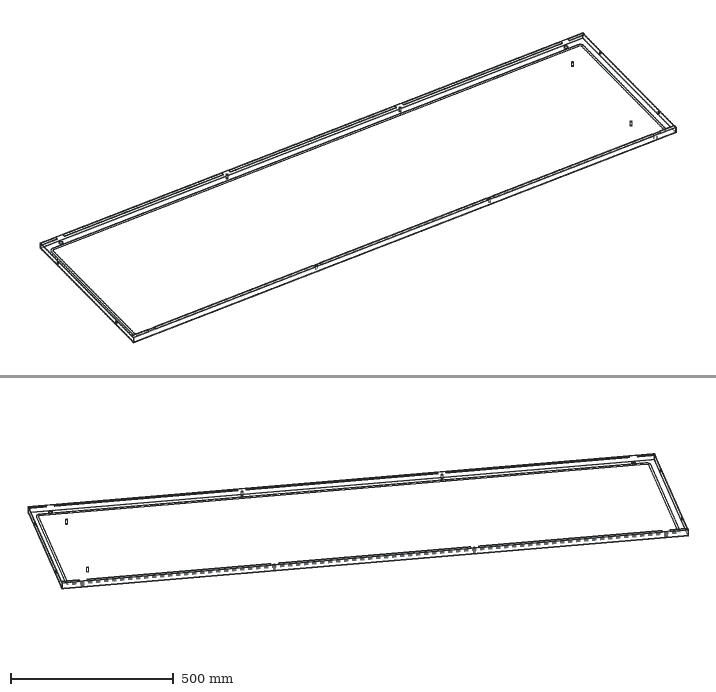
import cadquery as cq

width = 546.0
length = 1961.0
height = 21.5

sheet = 1.5
fold_radius = sheet
lip_width = 11.0
end_wall_height = 19.5

fixing_edge_distance = 11.5
fixing_x = width / 2 - fixing_edge_distance
corner_hole_y = 912.5
corner_hole_diameter = 12.0
fixing_stud_y = 313.0
fixing_stud_height = 15.0
notch_length = 25.0

end_hole_x = 171.0
end_hole_diameter = 7.0

gasket_side_distance = 26.0
gasket_end_distance = 22.2
gasket_width = 6.7
gasket_radius = gasket_width / 2
gasket_corner_radius = 10.0

stud_diameter = 6.0
earth_stud_x = end_hole_x
earth_stud_y = 880.0
earth_stud_height = 15.0

SIDES = (-1, 1)


def side_channel():
    """Wall and inward lip along the -X edge, with the strip of floor below the lip."""
    edge = -width / 2
    lip_edge = edge + lip_width
    return (
        cq.Workplane("XZ", origin=(0, length / 2, 0))
        .moveTo(lip_edge, 0)
        .lineTo(edge + fold_radius, 0)
        .radiusArc((edge, fold_radius), fold_radius)
        .lineTo(edge, height - fold_radius)
        .radiusArc((edge + fold_radius, height), fold_radius)
        .lineTo(lip_edge, height)
        .lineTo(lip_edge, height - sheet)
        .lineTo(edge + sheet, height - sheet)
        .lineTo(edge + sheet, sheet)
        .lineTo(lip_edge, sheet)
        .close()
        .extrude(length)
    )


def end_wall():
    """Wall along the -Y edge, between the two side walls and passing below their lips."""
    edge = -length / 2
    span = width - 2 * sheet
    floor_end = edge + 2 * sheet
    return (
        cq.Workplane("YZ", origin=(-span / 2, 0, 0))
        .moveTo(floor_end, 0)
        .lineTo(edge + fold_radius, 0)
        .radiusArc((edge, fold_radius), fold_radius)
        .lineTo(edge, end_wall_height)
        .lineTo(edge + sheet, end_wall_height)
        .lineTo(edge + sheet, sheet)
        .lineTo(floor_end, sheet)
        .close()
        .extrude(span)
    )


def lip_cutter(y):
    """Box that notches the +X lip back to the wall, centred on y."""
    depth = lip_width - sheet
    return cq.Workplane("XY").box(depth, notch_length, sheet).translate(
        (width / 2 - sheet - depth / 2, y, height - sheet / 2)
    )


def both_sides(shape, plane):
    """The shape and its mirror image."""
    return (shape, shape.mirror(plane))


def make_panel():
    """Tray of folded sheet with lipped long edges and plain short edges."""
    panel = cq.Workplane("XY").box(
        width - 2 * fold_radius, length - 2 * fold_radius, sheet, centered=(True, True, False)
    )
    for channel in both_sides(side_channel(), "YZ"):
        panel = panel.union(channel)

    for sy in SIDES:
        for y in (corner_hole_y, fixing_stud_y):
            for cutter in both_sides(lip_cutter(sy * y), "YZ"):
                panel = panel.cut(cutter)

    for wall in both_sides(end_wall(), "XZ"):
        panel = panel.union(wall)

    corner_holes = (
        cq.Workplane("XY")
        .rect(2 * fixing_x, 2 * corner_hole_y, forConstruction=True)
        .vertices()
        .circle(corner_hole_diameter / 2)
        .extrude(sheet)
    )
    end_holes = (
        cq.Workplane("XZ", origin=(0, length / 2, height / 2))
        .pushPoints([(side * end_hole_x, 0) for side in SIDES])
        .circle(end_hole_diameter / 2)
        .extrude(length)
    )
    return panel.cut(corner_holes).cut(end_holes)


def make_gasket():
    """Closed half-round bead lying on the floor, with rounded corners."""
    half_x = width / 2 - gasket_side_distance
    half_y = length / 2 - gasket_end_distance
    corner = gasket_corner_radius
    path = (
        cq.Workplane("XY", origin=(0, 0, sheet))
        .moveTo(-half_x, 0)
        .lineTo(-half_x, half_y - corner)
        .radiusArc((corner - half_x, half_y), corner)
        .lineTo(half_x - corner, half_y)
        .radiusArc((half_x, half_y - corner), corner)
        .lineTo(half_x, corner - half_y)
        .radiusArc((half_x - corner, -half_y), corner)
        .lineTo(corner - half_x, -half_y)
        .radiusArc((-half_x, corner - half_y), corner)
        .close()
    )
    section = (
        cq.Workplane("XZ", origin=(-half_x, 0, sheet))
        .moveTo(-gasket_radius, 0)
        .threePointArc((0, gasket_radius), (gasket_radius, 0))
        .close()
    )
    return section.sweep(path, transition="right")


def make_stud(x, y, stud_height):
    """Plain round stud standing on the floor."""
    return cq.Workplane("XY", origin=(x, y, sheet)).circle(stud_diameter / 2).extrude(stud_height)


panel = make_panel()
gasket = make_gasket()
fixing_studs = [
    make_stud(sx * fixing_x, sy * fixing_stud_y, fixing_stud_height) for sx in SIDES for sy in SIDES
]
earth_studs = [make_stud(side * earth_stud_x, earth_stud_y, earth_stud_height) for side in SIDES]

result = cq.Compound.makeCompound(
    [panel.val(), gasket.val()] + [stud.val() for stud in fixing_studs + earth_studs]
)